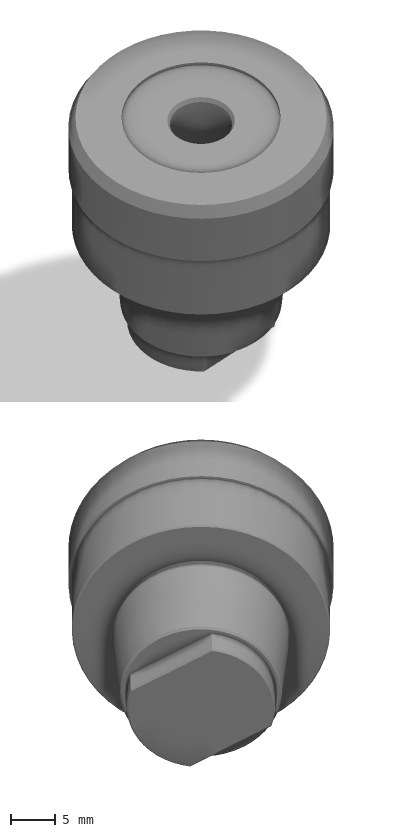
import cadquery as cq

TOTAL_HEIGHT = 31.95

COLLAR_RADIUS = 15.0
COLLAR_BOTTOM_Z = 23.9
COLLAR_BEVEL_WIDTH = 0.8
COLLAR_BEVEL_HEIGHT = 1.4
SKIRT_RADIUS = 14.6
SKIRT_BOTTOM_Z = 15.0
SKIRT_CHAMFER = 0.15
BORE_RADIUS = 8.98

RECESS_DEPTH = 0.45
NECK_RADIUS = 9.68
NECK_BOTTOM_Z = 14.6
SHANK_TOP_RADIUS = 10.0
SHANK_TOP_Z = 13.67
SHANK_BOTTOM_RADIUS = 9.15
SHANK_BOTTOM_Z = 3.0
SHANK_CHAMFER = 0.25
TIP_RADIUS = 8.37
TIP_CHAMFER = 0.2
TIP_FLAT_SPACING = 12.78

HOLE_RADIUS = 3.5
HOLE_DEPTH = 12.78
HOLE_CHAMFER_WIDTH = 0.3
HOLE_CHAMFER_HEIGHT = 0.5


def make_housing():
    """Ring with a bevelled collar, a narrower skirt and a straight bore."""
    profile = [
        (BORE_RADIUS, SKIRT_BOTTOM_Z),
        (SKIRT_RADIUS - SKIRT_CHAMFER, SKIRT_BOTTOM_Z),
        (SKIRT_RADIUS, SKIRT_BOTTOM_Z + SKIRT_CHAMFER),
        (SKIRT_RADIUS, COLLAR_BOTTOM_Z),
        (COLLAR_RADIUS, COLLAR_BOTTOM_Z),
        (COLLAR_RADIUS, TOTAL_HEIGHT - COLLAR_BEVEL_HEIGHT),
        (COLLAR_RADIUS - COLLAR_BEVEL_WIDTH, TOTAL_HEIGHT),
        (BORE_RADIUS, TOTAL_HEIGHT),
    ]
    return cq.Workplane("XZ").polyline(profile).close().revolve(360, (0, 0), (0, 1))


def make_tip():
    """Short round tip with two flats facing -X and +X, chamfered around its end."""
    tip = cq.Workplane("XY").circle(TIP_RADIUS).extrude(SHANK_BOTTOM_Z)
    flats = cq.Workplane("XY").rect(TIP_FLAT_SPACING, 2 * TIP_RADIUS).extrude(SHANK_BOTTOM_Z)
    return tip.intersect(flats).faces("<Z").chamfer(TIP_CHAMFER)


def make_shank_and_core(core_top_z):
    """Tapered shank below the housing and the core that fills its bore."""
    return (
        cq.Workplane("XZ")
        .moveTo(0, SHANK_BOTTOM_Z)
        .lineTo(SHANK_BOTTOM_RADIUS - SHANK_CHAMFER, SHANK_BOTTOM_Z)
        .lineTo(SHANK_BOTTOM_RADIUS, SHANK_BOTTOM_Z + SHANK_CHAMFER)
        .lineTo(SHANK_TOP_RADIUS, SHANK_TOP_Z)
        .lineTo(NECK_RADIUS, NECK_BOTTOM_Z)
        .lineTo(NECK_RADIUS, SKIRT_BOTTOM_Z)
        .lineTo(BORE_RADIUS, SKIRT_BOTTOM_Z)
        .lineTo(BORE_RADIUS, core_top_z)
        .lineTo(0, core_top_z)
        .close()
        .revolve(360, (0, 0), (0, 1))
    )


def make_hole(core_top_z):
    """Cutter for the blind hole with a chamfered mouth."""
    profile = [
        (0, core_top_z - HOLE_DEPTH),
        (HOLE_RADIUS, core_top_z - HOLE_DEPTH),
        (HOLE_RADIUS, core_top_z - HOLE_CHAMFER_HEIGHT),
        (HOLE_RADIUS + HOLE_CHAMFER_WIDTH, core_top_z),
        (0, core_top_z),
    ]
    return cq.Workplane("XZ").polyline(profile).close().revolve(360, (0, 0), (0, 1))


def make_insert():
    """Shank, core and tip as one solid, with the blind hole in its top."""
    core_top_z = TOTAL_HEIGHT - RECESS_DEPTH
    return make_shank_and_core(core_top_z).union(make_tip()).cut(make_hole(core_top_z))


housing = make_housing()
insert = make_insert()

result = cq.Compound.makeCompound([housing.val(), insert.val()])